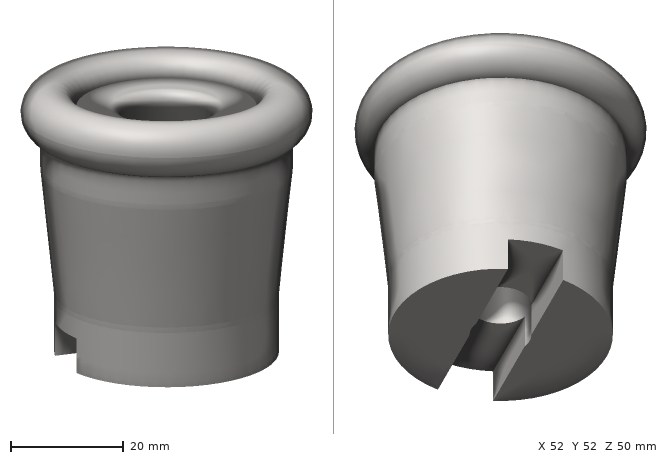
import cadquery as cq

height = 50.0
rim_outer_radius = 26.0
rim_tube_radius = 5.0
rim_ring_radius = rim_outer_radius - rim_tube_radius
rim_center_z = height - rim_tube_radius
face_z = rim_center_z + 1.0

collar_radius = 22.5
base_radius = 20.0
waist_top_z = 34.6
waist_bottom_z = 10.7
waist_blend_radius = 10.0
corner_margin = 0.5

hole_radius = 5.5
counterbore_radius = 8.25
counterbore_depth = 20.0
mouth_round = 2.0

slot_width = 10.4
slot_height = 6.5


def make_body():
    """Turned body with blended waist corners, closed by the flat top face."""
    body = (
        cq.Workplane("XZ")
        .lineTo(base_radius, 0)
        .lineTo(base_radius, waist_bottom_z)
        .lineTo(collar_radius, waist_top_z)
        .lineTo(collar_radius, rim_center_z)
        .lineTo(rim_ring_radius, face_z)
        .lineTo(0, face_z)
        .close()
        .revolve(360, (0, 0), (0, 1))
    )
    waist_corners = cq.selectors.BoxSelector(
        (-rim_outer_radius, -rim_outer_radius, waist_bottom_z - corner_margin),
        (rim_outer_radius, rim_outer_radius, waist_top_z + corner_margin),
    )
    return body.edges("%CIRCLE").edges(waist_corners).fillet(waist_blend_radius)


def make_rim():
    return (
        cq.Workplane("XZ")
        .center(rim_ring_radius, rim_center_z)
        .circle(rim_tube_radius)
        .revolve(360, (-rim_ring_radius, 0), (-rim_ring_radius, 1))
    )


def make_bore():
    """Through hole and counterbore with a rounded mouth."""
    floor_z = face_z - counterbore_depth
    mouth_radius = counterbore_radius + mouth_round
    return (
        cq.Workplane("XZ")
        .lineTo(hole_radius, 0)
        .lineTo(hole_radius, floor_z)
        .lineTo(counterbore_radius, floor_z)
        .lineTo(counterbore_radius, face_z - mouth_round)
        .radiusArc((mouth_radius, face_z), mouth_round)
        .lineTo(0, face_z)
        .close()
        .revolve(360, (0, 0), (0, 1))
    )


def make_slot():
    return cq.Workplane("XY").box(
        slot_width, 2 * rim_outer_radius, slot_height, centered=(True, True, False)
    )


result = make_body().union(make_rim()).cut(make_bore()).cut(make_slot())